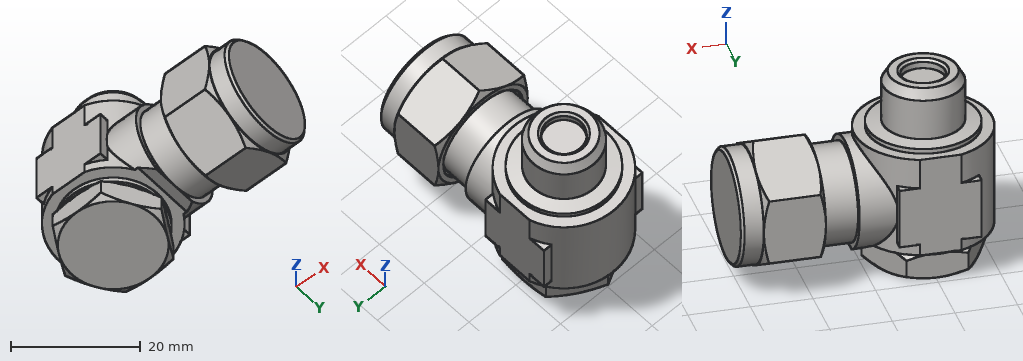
import cadquery as cq
import math

body_radius = 11.0
body_bottom = 5.45
body_top = 22.35
body_width = 21.0
pad_half_length = 6.55
pad_bottom = 7.35
pad_top = 17.35

washer_radius = 9.0
lower_washer_bottom = 4.4
upper_washer_edge = 23.15
upper_washer_top = 23.5

stud_radius = 6.5
stud_tip_radius = 5.5
stud_shoulder = 30.3
stud_top = 32.0
socket_radius = 3.53
socket_mouth_radius = 4.0
socket_depth = 1.57

arm_height = 12.4
collar_radius = washer_radius
collar_end = 12.55
collar_slope_start = 10.07
neck_radius = 8.0
arm_nut_start = 18.05
arm_nut_end = 27.95
nut_recess_radius = 8.5
nut_recess_depth = 0.5
sleeve_radius = 9.4
sleeve_end = 42.5 - body_radius
sleeve_chamfer = 0.45

base_nut_flats = 17.1
arm_nut_flats = 19.05
nut_chamfer_angle = 30


def chamfered_hexagon(across_flats, height):
    """Hexagon prism on Z = 0, corners on X, with both ends turned to a cone."""
    corner_radius = across_flats / math.sqrt(3)
    face_radius = across_flats / 2
    drop = (corner_radius - face_radius) * math.tan(math.radians(nut_chamfer_angle))
    prism = cq.Workplane("XY").polygon(6, 2 * corner_radius).extrude(height)
    turned_blank = (
        cq.Workplane("XZ")
        .moveTo(0, 0)
        .lineTo(face_radius, 0)
        .lineTo(corner_radius, drop)
        .lineTo(corner_radius, height - drop)
        .lineTo(face_radius, height)
        .lineTo(0, height)
        .close()
        .revolve(360, (0, 0), (0, 1))
    )
    return prism.intersect(turned_blank)


def upright_cylinder(radius, bottom, top):
    return cq.Workplane("XY").workplane(offset=bottom).circle(radius).extrude(top - bottom)


def arm_cylinder(radius, end):
    """Round bar along the arm axis, starting at the body axis."""
    return cq.Workplane("YZ").center(0, arm_height).circle(radius).extrude(end)


def make_body():
    barrel = upright_cylinder(body_radius, body_bottom, body_top)
    flats = (
        cq.Workplane("XY")
        .workplane(offset=body_bottom)
        .rect(2 * body_radius, body_width)
        .extrude(body_top - body_bottom)
    )
    pad = (
        cq.Workplane("XY")
        .workplane(offset=pad_bottom)
        .rect(2 * pad_half_length, body_width)
        .extrude(pad_top - pad_bottom)
    )
    return barrel.intersect(flats).union(pad)


def make_upper_stem():
    """Coned upper washer and stud, turned together with the blind socket."""
    socket_floor = stud_top - socket_depth
    mouth_depth = socket_mouth_radius - socket_radius
    return (
        cq.Workplane("XZ")
        .moveTo(0, body_top)
        .lineTo(washer_radius, body_top)
        .lineTo(washer_radius, upper_washer_edge)
        .lineTo(stud_radius, upper_washer_top)
        .lineTo(stud_radius, stud_shoulder)
        .lineTo(stud_tip_radius, stud_top)
        .lineTo(socket_mouth_radius, stud_top)
        .lineTo(socket_radius, stud_top - mouth_depth)
        .lineTo(socket_radius, socket_floor)
        .lineTo(0, socket_floor)
        .close()
        .revolve(360, (0, 0), (0, 1))
    )


def make_collar():
    """Arm collar, with its underside flat under the body, then sloping down to the neck."""
    envelope = (
        cq.Workplane("XZ")
        .moveTo(0, body_bottom)
        .lineTo(collar_slope_start, body_bottom)
        .lineTo(collar_end, arm_height - neck_radius)
        .lineTo(collar_end, arm_height + collar_radius)
        .lineTo(0, arm_height + collar_radius)
        .close()
        .extrude(collar_radius, both=True)
    )
    return arm_cylinder(collar_radius, collar_end).intersect(envelope)


def make_arm():
    neck_start = collar_end
    neck = (
        cq.Workplane("YZ", origin=(neck_start, 0, arm_height))
        .circle(neck_radius)
        .extrude(arm_nut_start + nut_recess_depth - neck_start)
    )
    recess = cq.Workplane("XY").circle(nut_recess_radius).extrude(nut_recess_depth)
    nut = (
        chamfered_hexagon(arm_nut_flats, arm_nut_end - arm_nut_start)
        .cut(recess)
        .rotate((0, 0, 0), (0, 1, 0), 90)
        .translate((arm_nut_start, 0, arm_height))
    )
    sleeve = (
        cq.Workplane("YZ", origin=(arm_nut_end, 0, arm_height))
        .circle(sleeve_radius)
        .extrude(sleeve_end - arm_nut_end)
        .faces(">X")
        .chamfer(sleeve_chamfer)
    )
    return make_collar().union(neck).union(nut).union(sleeve)


base_nut = chamfered_hexagon(base_nut_flats, lower_washer_bottom)
lower_washer = upright_cylinder(washer_radius, lower_washer_bottom, body_bottom)

result = make_body().union(make_upper_stem()).union(lower_washer).union(base_nut).union(make_arm())